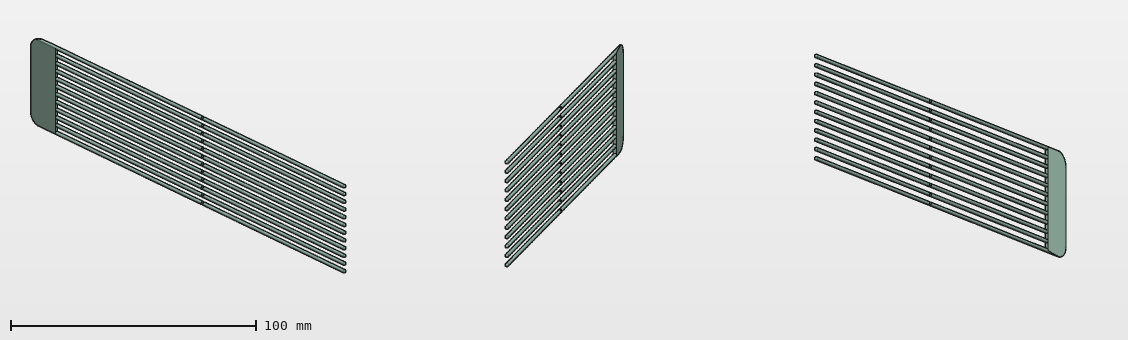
import cadquery as cq

total_length = 161.8
total_height = 45.6
rod_diameter = 1.57
rod_radius = rod_diameter / 2

rod_count = 12
row_height = total_height - rod_diameter
rod_pitch = row_height / (rod_count - 1)

plate_length = 12.8
plate_corner_radius = 5.7
plate_edge_thickness = 0.53

groove_position = 88.4
groove_radius = 0.4


def make_rod():
    """Rod about the X axis with one half-round groove and a domed +X end."""
    return (
        cq.Workplane("XZ")
        .lineTo(0, rod_radius)
        .lineTo(groove_position - groove_radius, rod_radius)
        .threePointArc(
            (groove_position, rod_radius - groove_radius),
            (groove_position + groove_radius, rod_radius),
        )
        .lineTo(total_length - rod_radius, rod_radius)
        .radiusArc((total_length, 0), rod_radius)
        .close()
        .revolve(360, (0, 0, 0), (1, 0, 0))
    )


def make_rod_row():
    """List of all rods, the outer two centred on the long edges of the plate."""
    lowest_rod = make_rod().translate((0, 0, -row_height / 2))
    return [lowest_rod.translate((0, 0, index * rod_pitch)) for index in range(rod_count)]


def make_plate_core():
    """Flat slab spanning the centre lines of the outer rods."""
    return cq.Workplane("XY").box(
        plate_length, rod_diameter, row_height, centered=(False, True, True)
    )


def make_outline():
    """Envelope of the whole part with the two -X corners rounded."""
    return (
        cq.Workplane("XY")
        .box(total_length, 2 * rod_diameter, total_height, centered=(False, True, True))
        .edges("|Y and <X")
        .fillet(plate_corner_radius)
    )


def make_taper_cut():
    """Wedge that thins the +Y face of the plate toward its -X edge."""
    return (
        cq.Workplane("XY")
        .moveTo(0, plate_edge_thickness - rod_radius)
        .lineTo(plate_length, rod_radius)
        .lineTo(plate_length, rod_diameter)
        .lineTo(0, rod_diameter)
        .close()
        .extrude(total_height, both=True)
    )


plate_and_rods = make_plate_core()
for rod in make_rod_row():
    plate_and_rods = plate_and_rods.union(rod)

rounded_part = plate_and_rods.intersect(make_outline())
result = rounded_part.cut(make_taper_cut())